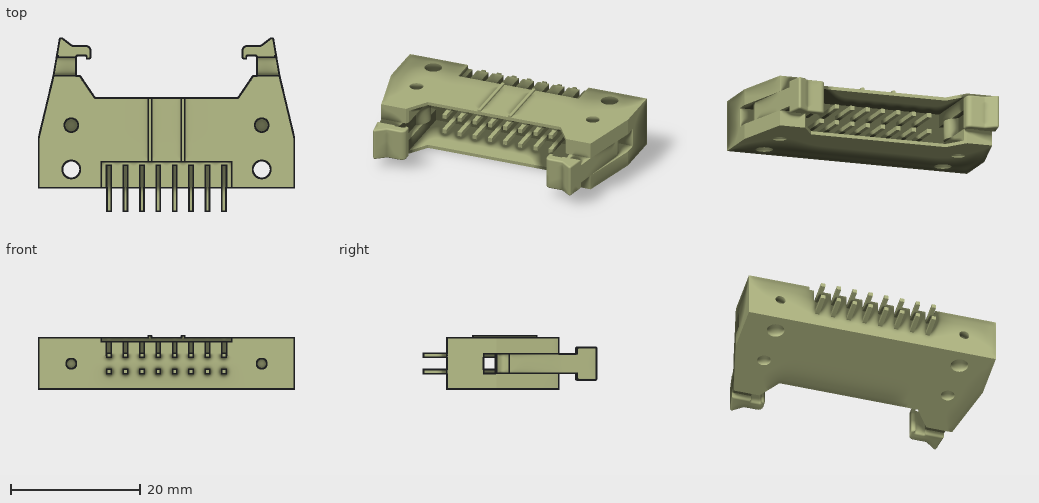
import cadquery as cq
import math

HOUSING_WIDTH = 39.62
HOUSING_HEIGHT = 7.95
SIDE_LENGTH = 7.7
TOWER_TOP_Y = 17.35
TOWER_OUTER_X = 17.5
TOWER_INNER_X = 13.4
RIM_Y = 13.95
RIM_HALF_WIDTH = 11.1

CAVITY_FLOOR_Y = 5.7
CAVITY_HALF_WIDTH = 13.07
CAVITY_WALL = 0.5

LATCH_MID_Z = 3.92
SLOT_HEIGHT = 3.0
HOLE_X = 14.75
PIVOT_Y = 9.7
PIVOT_HOLE_DIAMETER = 2.15
MOUNT_HOLE_Y = 2.85
MOUNT_HOLE_DIAMETER = 2.75
REAR_HOLE_DIAMETER = 1.6
REAR_HOLE_DEPTH = 1.2

PIN_COUNT = 8
PIN_PITCH = 2.55
PIN_WIDTH = 0.67
PIN_ROW_Z = (2.7, 5.23)
PIN_TAIL = 3.65
PIN_TIP_Y = 12.68

RECESS_WIDTH = 20.13
RECESS_LENGTH = 4.05
RECESS_DEPTH = 0.65
PIN_SLOT_LENGTH = 3.53
END_SLOT_EXTRA = 0.1

RIB_X = 2.58
RIB_WIDTH = 0.5
RIB_HEIGHT = 0.3
RIB_FILLET = 0.1

ARM_INNER_X = 14.0
ARM_TAPER = 0.17
HEEL_TOP_Y = 9.65
HEEL_X = 18.7
HEEL_STRAIGHT_END_Y = 9.05
HEEL_RADIUS = 0.87
HEEL_SWEEP = math.radians(57)
HEEL_BEND_Y = 7.7
PIVOT_RADIUS = 2.25

HEAD_HEIGHT = 5.07
HEAD_BASE_Y = 20.2
TIP_APEX_Y = 23.4
TIP_RADIUS = 0.28
HEAD_FILLET = 0.258
RAMP_END_X = 14.6
RAMP_BLEND_RADIUS = 0.4
HOOK_BACK_Y = 22.0
HOOK_OUTER_X = 11.73
HOOK_INNER_X = 12.35
HOOK_CORNER_RADIUS = 0.8
HOOK_LIP_Y = 19.95
HOOK_LIP_RADIUS = 0.4
NOTCH_Y = 20.5
NOTCH_RADIUS = 0.25


def box(x0, x1, y0, y1, z0, z1):
    """Box between the given limits."""
    return cq.Workplane("XY").box(x1 - x0, y1 - y0, z1 - z0, centered=False).translate((x0, y0, z0))


def pin_positions():
    return [(i - (PIN_COUNT - 1) / 2) * PIN_PITCH for i in range(PIN_COUNT)]


def housing_block():
    half_width = HOUSING_WIDTH / 2
    right_side = [
        (half_width, 0),
        (half_width, SIDE_LENGTH),
        (TOWER_OUTER_X, TOWER_TOP_Y),
        (TOWER_INNER_X, TOWER_TOP_Y),
        (RIM_HALF_WIDTH, RIM_Y),
    ]
    left_side = [(-x, y) for x, y in reversed(right_side)]
    return cq.Workplane("XY").polyline(right_side + left_side).close().extrude(HOUSING_HEIGHT)


def cavity_cut():
    return box(
        -CAVITY_HALF_WIDTH,
        CAVITY_HALF_WIDTH,
        CAVITY_FLOOR_Y,
        TOWER_TOP_Y,
        CAVITY_WALL,
        HOUSING_HEIGHT - CAVITY_WALL,
    )


def latch_slot_cut():
    """One cut through both sides, which leaves a slot for each latch."""
    half_width = HOUSING_WIDTH / 2
    bottom_z = LATCH_MID_Z - SLOT_HEIGHT / 2
    top_z = LATCH_MID_Z + SLOT_HEIGHT / 2
    return box(-half_width, half_width, CAVITY_FLOOR_Y, TOWER_TOP_Y, bottom_z, top_z)


def hole_cuts():
    """Through mounting and pivot holes, and blind holes in the rear face."""
    mount = (
        cq.Workplane("XY")
        .pushPoints([(-HOLE_X, MOUNT_HOLE_Y), (HOLE_X, MOUNT_HOLE_Y)])
        .circle(MOUNT_HOLE_DIAMETER / 2)
        .extrude(HOUSING_HEIGHT)
    )
    pivot = (
        cq.Workplane("XY")
        .pushPoints([(-HOLE_X, PIVOT_Y), (HOLE_X, PIVOT_Y)])
        .circle(PIVOT_HOLE_DIAMETER / 2)
        .extrude(HOUSING_HEIGHT)
    )
    rear = (
        cq.Workplane("XZ")
        .pushPoints([(-HOLE_X, LATCH_MID_Z), (HOLE_X, LATCH_MID_Z)])
        .circle(REAR_HOLE_DIAMETER / 2)
        .extrude(-REAR_HOLE_DEPTH)
    )
    return mount.union(pivot).union(rear)


def rear_recess_cut():
    recess_floor = HOUSING_HEIGHT - RECESS_DEPTH
    cut = box(-RECESS_WIDTH / 2, RECESS_WIDTH / 2, 0, RECESS_LENGTH, recess_floor, HOUSING_HEIGHT)
    positions = pin_positions()
    for x in positions:
        left = x - PIN_WIDTH / 2
        right = x + PIN_WIDTH / 2
        if x == positions[0]:
            left -= END_SLOT_EXTRA
        if x == positions[-1]:
            right += END_SLOT_EXTRA
        cut = cut.union(box(left, right, 0, PIN_SLOT_LENGTH, PIN_ROW_Z[1], HOUSING_HEIGHT))
    return cut


def rib(x):
    half = RIB_WIDTH / 2
    bar = box(x - half, x + half, RECESS_LENGTH, RIM_Y, HOUSING_HEIGHT, HOUSING_HEIGHT + RIB_HEIGHT)
    return bar.edges("|Y and >Z").fillet(RIB_FILLET)


def pin(x, z):
    half = PIN_WIDTH / 2
    return box(x - half, x + half, -PIN_TAIL, PIN_TIP_Y, z - half, z + half)


def make_housing():
    """Housing with its ribs and moulded-in pins, as one solid."""
    housing = housing_block()
    for cut in (cavity_cut(), latch_slot_cut(), hole_cuts(), rear_recess_cut()):
        housing = housing.cut(cut)
    for x in (-RIB_X, RIB_X):
        housing = housing.union(rib(x))
    for x in pin_positions():
        for z in PIN_ROW_Z:
            housing = housing.union(pin(x, z))
    return housing


def arm_outer_x(y):
    """X of the leaning outer face of the latch at the given Y."""
    return TOWER_OUTER_X - ARM_TAPER * (y - TOWER_TOP_Y)


def latch_arm():
    """Arm with a rounded heel inside the housing slot."""

    def heel_point(angle):
        x = HEEL_X - HEEL_RADIUS * (1 - math.cos(angle))
        return x, HEEL_STRAIGHT_END_Y - HEEL_RADIUS * math.sin(angle)

    arc_end_x, arc_end_y = heel_point(HEEL_SWEEP)
    bend_x = arc_end_x - (arc_end_y - HEEL_BEND_Y) * math.tan(HEEL_SWEEP)
    head_inside_y = HEAD_BASE_Y + HEAD_FILLET
    bottom_z = LATCH_MID_Z - SLOT_HEIGHT / 2
    arm = (
        cq.Workplane("XY", origin=(0, 0, bottom_z))
        .moveTo(ARM_INNER_X, head_inside_y)
        .lineTo(arm_outer_x(head_inside_y), head_inside_y)
        .lineTo(arm_outer_x(HEEL_TOP_Y), HEEL_TOP_Y)
        .lineTo(HEEL_X, HEEL_TOP_Y)
        .lineTo(HEEL_X, HEEL_STRAIGHT_END_Y)
        .threePointArc(heel_point(HEEL_SWEEP / 2), (arc_end_x, arc_end_y))
        .lineTo(bend_x, HEEL_BEND_Y)
        .lineTo(HOLE_X, PIVOT_Y - PIVOT_RADIUS)
        .lineTo(ARM_INNER_X, PIVOT_Y)
        .close()
        .extrude(SLOT_HEIGHT)
    )
    pivot_end = (
        cq.Workplane("XY", origin=(HOLE_X, PIVOT_Y, bottom_z)).circle(PIVOT_RADIUS).extrude(SLOT_HEIGHT)
    )
    return arm.union(pivot_end)


def latch_head():
    """Thumb rest and inward hook, with rounded upper and lower rims."""
    bottom_z = LATCH_MID_Z - HEAD_HEIGHT / 2
    apex_x = arm_outer_x(TIP_APEX_Y)
    head = (
        cq.Workplane("XY", origin=(0, 0, bottom_z))
        .moveTo(arm_outer_x(HEAD_BASE_Y), HEAD_BASE_Y)
        .lineTo(apex_x, TIP_APEX_Y)
        .lineTo(RAMP_END_X, HOOK_BACK_Y)
        .lineTo(HOOK_OUTER_X + HOOK_CORNER_RADIUS, HOOK_BACK_Y)
        .radiusArc((HOOK_OUTER_X, HOOK_BACK_Y - HOOK_CORNER_RADIUS), -HOOK_CORNER_RADIUS)
        .lineTo(HOOK_OUTER_X, HOOK_LIP_Y + HOOK_LIP_RADIUS)
        .radiusArc((HOOK_OUTER_X + HOOK_LIP_RADIUS, HOOK_LIP_Y), -HOOK_LIP_RADIUS)
        .lineTo(HOOK_INNER_X, HOOK_LIP_Y)
        .lineTo(HOOK_INNER_X, NOTCH_Y - NOTCH_RADIUS)
        .radiusArc((HOOK_INNER_X + NOTCH_RADIUS, NOTCH_Y), NOTCH_RADIUS)
        .lineTo(ARM_INNER_X - NOTCH_RADIUS, NOTCH_Y)
        .radiusArc((ARM_INNER_X, NOTCH_Y - NOTCH_RADIUS), NOTCH_RADIUS)
        .lineTo(ARM_INNER_X, HEAD_BASE_Y)
        .close()
        .extrude(HEAD_HEIGHT)
    )
    tip_edge = cq.selectors.NearestToPointSelector((apex_x, TIP_APEX_Y, LATCH_MID_Z))
    ramp_edge = cq.selectors.NearestToPointSelector((RAMP_END_X, HOOK_BACK_Y, LATCH_MID_Z))
    head = head.edges(tip_edge).fillet(TIP_RADIUS)
    head = head.edges(ramp_edge).fillet(RAMP_BLEND_RADIUS)
    return head.faces("<Z or >Z").edges().fillet(HEAD_FILLET)


def make_latches():
    """The latch at +X and its mirror image at -X."""
    latch = latch_arm().union(latch_head())
    return [latch, latch.mirror("YZ")]


housing = make_housing()
latches = make_latches()

result = cq.Compound.makeCompound([housing.val(), *[latch.val() for latch in latches]])